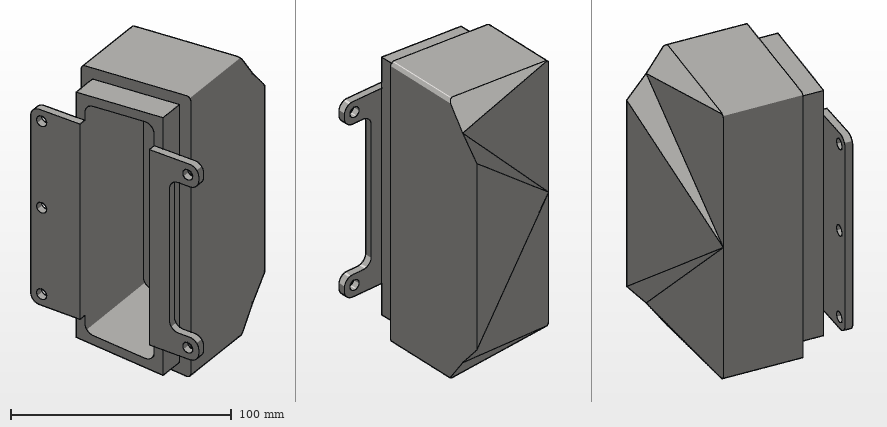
import cadquery as cq
import math

flange_thickness = 4.0
neck_back = 17.2
body_back = 57.4
peak_y = 77.0
back_wall = 6.3

flange_width = 92.0
flange_height = 105.1
tab_height = 12.1
flange_radius = 5.0
hole_diameter = 5.5
hole_inset = 6.0

body_height = 151.0
body_left = 16.0
body_right = 76.0
body_radius = 2.3
end_slope = 0.071

neck_inset_x = 6.2
neck_inset_z = 5.9
pocket_inset_x = 11.0
pocket_inset_z = 10.9
pocket_radius = 5.0

peak_half_height = 50.1
shoulder_half_height = 61.8

tip_loss = body_radius * (end_slope + math.hypot(1, end_slope) - 1)
sharp_half_height = body_height / 2 + tip_loss


def end_height(x):
    """Half height of the sharp-cornered body outline at x."""
    return sharp_half_height - end_slope * (body_right - x)


def tapered_block(inset_x, inset_z, y_start, y_end, radius=0):
    """Trapezoidal block inside the body outline, with optional rounded corners."""
    left = body_left + inset_x
    right = body_right - inset_x
    left_half = end_height(left) - inset_z
    right_half = end_height(right) - inset_z
    outline = [(left, -left_half), (right, -right_half), (right, right_half), (left, left_half)]
    block = (
        cq.Workplane("XZ", origin=(0, y_start, 0))
        .polyline(outline)
        .close()
        .extrude(y_start - y_end)
    )
    if radius:
        block = block.edges("|Y").fillet(radius)
    return block


def flange():
    """Plate with two tabs on its right side and five mounting holes."""
    plate = cq.Workplane("XY").box(flange_width, flange_thickness, flange_height, centered=(False, False, True))
    notch_height = flange_height - 2 * tab_height
    notch = (
        cq.Workplane("XY")
        .box(flange_width - body_right, flange_thickness, notch_height, centered=(False, False, True))
        .translate((body_right, 0, 0))
    )
    plate = plate.cut(notch).edges("|Y").fillet(flange_radius)

    hole_z = flange_height / 2 - hole_inset
    left_x = hole_inset
    right_x = flange_width - hole_inset
    hole_places = [(left_x, -hole_z), (left_x, 0), (left_x, hole_z), (right_x, -hole_z), (right_x, hole_z)]
    holes = (
        cq.Workplane("XZ")
        .pushPoints(hole_places)
        .circle(hole_diameter / 2)
        .extrude(-flange_thickness)
    )
    return plate.cut(holes)


def faceted_back():
    """Wedge whose facets fan out from the middle of the left edge to the right side."""
    shoulder_y = (body_back + peak_y) / 2
    apex = (body_left, body_back, 0)

    def corners(side):
        return (
            (body_left, body_back, side * end_height(body_left)),
            (body_right, body_back, side * sharp_half_height),
            (body_right, shoulder_y, side * shoulder_half_height),
            (body_right, peak_y, side * peak_half_height),
        )

    base_left_top, base_right_top, shoulder_top, peak_top = corners(1)
    base_left_low, base_right_low, shoulder_low, peak_low = corners(-1)
    loops = [
        [apex, base_left_top, base_right_top, base_right_low, base_left_low],
        [base_right_top, shoulder_top, peak_top, peak_low, shoulder_low, base_right_low],
        [apex, peak_top, peak_low],
    ]
    for side in (1, -1):
        base_left, base_right, shoulder, peak = corners(side)
        loops += [
            [apex, peak, shoulder],
            [apex, shoulder, base_left],
            [base_left, shoulder, base_right],
        ]
    faces = []
    for loop in loops:
        wire = cq.Wire.makePolygon([cq.Vector(*point) for point in loop], close=True)
        faces.append(cq.Face.makeFromWires(wire))
    wedge = cq.Workplane(obj=cq.Solid.makeSolid(cq.Shell.makeShell(faces)))

    return wedge.intersect(tapered_block(0, 0, body_back, peak_y, body_radius))


neck = tapered_block(neck_inset_x, neck_inset_z, flange_thickness, neck_back)
body = tapered_block(0, 0, neck_back, body_back, body_radius)
pocket = tapered_block(pocket_inset_x, pocket_inset_z, 0, body_back - back_wall, pocket_radius)

result = flange().union(neck).union(body).union(faceted_back()).cut(pocket)